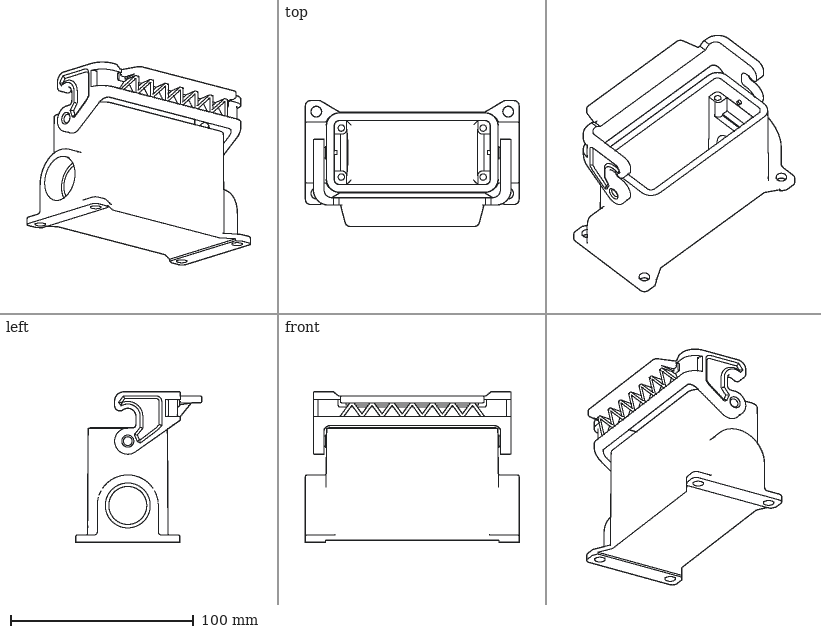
import cadquery as cq
import math

BODY_BOTTOM = 1.1
BODY_TOP = 62.8
RIM_SHOULDER_Z = 62.3
DRAFT_BREAK_Z = 57.6
BASE_HALF_X = 47.3
BASE_HALF_Y = 22.1
BODY_CORNER_R = 7.5
LOWER_DRAFT = 0.3
UPPER_DRAFT = 0.15
RIM_WIDTH = 4.1

MOUTH_HALF_X = BASE_HALF_X - LOWER_DRAFT - UPPER_DRAFT - RIM_WIDTH
MOUTH_HALF_Y = BASE_HALF_Y - LOWER_DRAFT - UPPER_DRAFT - RIM_WIDTH
MOUTH_CORNER_R = BODY_CORNER_R - LOWER_DRAFT - UPPER_DRAFT - RIM_WIDTH
POST_TOP = 51.0
POST_INNER_X = 35.9
POST_INNER_Y = 10.1
POST_CORNER_R = 2.5
SCREW_X = 38.8
SCREW_Y = 13.4
SCREW_R = 1.75
SCREW_DEPTH = 12.0
FLOOR_Z = 4.6
FLOOR_ROUND = 2.1
CAVITY_DRAFT_ANGLE = 0.9
LEDGE_Z = 39.0
LEDGE_END_X = 39.3
LEDGE_STEP = 1.0
BAY_OVERLAP = 1.0

END_X = 58.55
ENTRY_Z = 20.2
ENTRY_R = 16.7
ENTRY_START_X = 38.0
BORE_R = 12.3
BORE_DEPTH = 12.5
INNER_BORE_R = 10.4
BORE_OVERLAP = 2.0
FOOT_HALF_Y = 28.5
FOOT_TOP = 4.1
FOOT_TIP_X = 50.4
FOOT_ROOT_X = 39.6
FOOT_CORNER_R = 3.0
FOOT_TIP_R = 1.2
PAD_INNER_X = 47.4
FOOT_HOLE_X = 52.5
FOOT_HOLE_Y = 22.4
FOOT_HOLE_R = 2.85
ROOT_ROUND = 1.5
EDGE_ROUND = 1.0
WALL_ROUND = 1.0
NEAR = 0.1

LEG_OUT_X = 54.15
LEG_IN_X = 48.2
LEVER_TOP = 82.45
PLATE_OUT_Y = -28.8
PLATE_IN_Y = -24.6
LEVER_OUT_R = 8.5
LEVER_IN_R = 4.0
LEVER_EDGE_ROUND = 0.7
PIVOT_Z = 55.4
PIVOT_R = 7.2
PLATE_LOW_Z = 66.9
SLOT_Z = 68.9
SLOT_R = 4.4
SLOT_CORNER_R = 2.0
HOOK_R = 5.2
HOOK_OUT_Y = 7.3
TIP_R = 3.0
LEVER_BACK_Y = HOOK_OUT_Y + 1.0

HOLLOW_DEPTH = 1.0
HOLLOW_SLOPE = 55.0
HOLLOW_TOP = 80.1
HOLLOW_FRONT_Y = -18.6
HOLLOW_SLOT_R = 6.8
HOLLOW_CORNER_R = 3.0
HOLLOW_HOOK_Y = 3.6
HOLLOW_HOOK_POINTS = [(5.0, 76.6), (2.4, HOLLOW_TOP)]
HOLLOW_FRONT_LOW_Z = 64.0
HOLLOW_PIVOT_POINTS = [(-16.6, 61.7), (-6.8, 54.3), (-5.2, 55.2), (-3.6, 59.0)]
HOLLOW_SLOT_LOW_Z = 63.0

PIN_TIP_X = 41.3
PIN_TIP_R = 1.1
PIN_SHOULDER_R = 3.45
PIN_NECK_R = 2.9
PIN_SHOULDER_X = 47.6
PIN_ROOT_X = MOUTH_HALF_X + 2.0
PIN_DISH_R = 3.3
PIN_DISH_FLOOR_R = 2.4
PIN_DISH_DEPTH = 0.9

BAND_LOW = 68.9
BAND_HIGH = 78.2
BAND_DEPTH = 1.7
BAND_SIDE_DEPTH = 2.6
BAND_CORNER_R = 6.5
BAND_ROUND = 0.8
BAND_RUN_OUT = 1.8
BAND_END_Y = -20.6
BAND_FLOOR_Y = PLATE_OUT_Y + BAND_DEPTH
LIP_TOP = 80.1
LIP_TIP_LOW_Z = 76.4
LIP_ROOT_LOW_Z = 75.2
WEDGE_END_Y = -36.0
LIP_TIP_Y = -40.5
LIP_ROOT_HALF_X = 39.3
LIP_TIP_HALF_X = 36.2
LIP_CORNER_R = 3.0
LIP_EDGE_ROUND = 0.8
DIP_TOP_HALF_X = 43.2
DIP_HALF_X = 40.2
HAUNCH_HALF_X = 40.5
HAUNCH_CORNER_R = 1.0
HAUNCH_ROUND = 1.2
RIB_PITCH = 11.0
RIB_COUNT = 7
RIB_WIDTH = 1.7
RIB_TIP_Y = -34.9


def box(x0, x1, y0, y1, z0, z1):
    return cq.Workplane("XY").box(x1 - x0, y1 - y0, z1 - z0, centered=False).translate((x0, y0, z0))


def cylinder_x(x0, x1, y, z, radius):
    """Cylinder along X from x0 to x1."""
    return cq.Workplane("YZ", origin=(x0, 0, 0)).center(y, z).circle(radius).extrude(x1 - x0)


def centre_box(x0, x1, y0, y1, z0, z1):
    """Selector for edges whose centre lies in the given ranges."""
    return cq.selectors.BoxSelector((x0, y0, z0), (x1, y1, z1))


def drafted_block(half_x, half_y, corner_r, z0, z1, lean):
    angle = math.degrees(math.atan2(lean, z1 - z0))
    outline = cq.Sketch().rect(2 * half_x, 2 * half_y).vertices().fillet(corner_r)
    return cq.Workplane("XY", origin=(0, 0, z0)).placeSketch(outline).extrude(z1 - z0, taper=angle)


def both_ends(shape):
    """The shape together with its mirror image across the YZ plane."""
    return shape.union(shape.mirror("YZ"))


def make_shell():
    lower = drafted_block(BASE_HALF_X, BASE_HALF_Y, BODY_CORNER_R, BODY_BOTTOM, DRAFT_BREAK_Z, LOWER_DRAFT)
    rim_band = drafted_block(
        BASE_HALF_X - LOWER_DRAFT,
        BASE_HALF_Y - LOWER_DRAFT,
        BODY_CORNER_R - LOWER_DRAFT,
        DRAFT_BREAK_Z,
        RIM_SHOULDER_Z,
        UPPER_DRAFT,
    )
    return lower.union(rim_band)


def rim_crown():
    """Shallow rounded crown running all round the rim."""
    half_x = MOUTH_HALF_X + RIM_WIDTH / 2
    half_y = MOUTH_HALF_Y + RIM_WIDTH / 2
    corner_r = MOUTH_CORNER_R + RIM_WIDTH / 2
    path = (
        cq.Workplane("XY", origin=(0, 0, RIM_SHOULDER_Z))
        .moveTo(0, -half_y)
        .lineTo(half_x - corner_r, -half_y)
        .radiusArc((half_x, corner_r - half_y), -corner_r)
        .lineTo(half_x, half_y - corner_r)
        .radiusArc((half_x - corner_r, half_y), -corner_r)
        .lineTo(corner_r - half_x, half_y)
        .radiusArc((-half_x, half_y - corner_r), -corner_r)
        .lineTo(-half_x, corner_r - half_y)
        .radiusArc((corner_r - half_x, -half_y), -corner_r)
        .close()
    )
    return (
        cq.Workplane("YZ")
        .moveTo(-half_y - RIM_WIDTH / 2, RIM_SHOULDER_Z)
        .threePointArc((-half_y, BODY_TOP), (-half_y + RIM_WIDTH / 2, RIM_SHOULDER_Z))
        .close()
        .sweep(path)
    )


def make_foot_pair():
    """Foot plate at the -X end, carrying both feet of that end."""
    tip_edges = centre_box(
        -FOOT_TIP_X - 1, -FOOT_TIP_X + 1, -FOOT_HALF_Y - 1, FOOT_HALF_Y + 1, -1, FOOT_TOP + 1
    )
    plate = (
        cq.Workplane("XY")
        .polyline([
            (-END_X, FOOT_HALF_Y),
            (-FOOT_TIP_X, FOOT_HALF_Y),
            (-FOOT_ROOT_X, BASE_HALF_Y),
            (-FOOT_ROOT_X, -BASE_HALF_Y),
            (-FOOT_TIP_X, -FOOT_HALF_Y),
            (-END_X, -FOOT_HALF_Y),
        ])
        .close()
        .extrude(FOOT_TOP)
        .edges("|Z and <X")
        .fillet(FOOT_CORNER_R)
        .edges(tip_edges)
        .edges("|Z")
        .fillet(FOOT_TIP_R)
    )
    relief = box(-PAD_INNER_X, 0, -FOOT_HALF_Y, FOOT_HALF_Y, 0, BODY_BOTTOM)
    return plate.cut(relief)


def make_cable_entry():
    """Arched boss at the -X end, standing on the foot plate."""
    return (
        cq.Workplane("YZ", origin=(-END_X, 0, 0))
        .moveTo(-ENTRY_R, BODY_BOTTOM)
        .lineTo(-ENTRY_R, ENTRY_Z)
        .threePointArc((0, ENTRY_Z + ENTRY_R), (ENTRY_R, ENTRY_Z))
        .lineTo(ENTRY_R, BODY_BOTTOM)
        .close()
        .extrude(END_X - ENTRY_START_X)
    )


def make_end():
    """-X end piece, with its edges rounded."""
    end = make_foot_pair().union(make_cable_entry())
    low = FOOT_TOP - NEAR
    high = FOOT_TOP + NEAR
    reach_y = ENTRY_R + NEAR
    root_lines = centre_box(-END_X, -ENTRY_START_X, -reach_y, reach_y, low, high)
    end = end.edges("|X").edges(root_lines).fillet(ROOT_ROUND)
    outline = end.faces("<X").edges("not <Z")
    near_y = BASE_HALF_Y + NEAR
    far_y = FOOT_HALF_Y + NEAR
    for y0, y1 in ((near_y, far_y), (-far_y, -near_y)):
        outline = outline.add(end.edges(centre_box(-END_X + NEAR, -FOOT_ROOT_X, y0, y1, low, high)))
    return outline.fillet(EDGE_ROUND)


def round_wall_joint(housing):
    """Fillet where the body wall meets the -X entry boss and feet."""
    left_x = -BASE_HALF_X - NEAR
    right_x = -FOOT_ROOT_X - NEAR
    boss_joint = centre_box(left_x, right_x, -BASE_HALF_Y, BASE_HALF_Y, FOOT_TOP + NEAR, ENTRY_Z + ENTRY_R)
    foot_joint = centre_box(left_x, right_x, -BASE_HALF_Y, BASE_HALF_Y, FOOT_TOP - NEAR, FOOT_TOP + NEAR)
    edges = housing.edges(boss_joint).edges("not |X")
    return edges.add(housing.edges(foot_joint)).fillet(WALL_ROUND)


def foot_holes():
    points = [(sx * FOOT_HOLE_X, sy * FOOT_HOLE_Y) for sx in (-1, 1) for sy in (-1, 1)]
    return cq.Workplane("XY").pushPoints(points).circle(FOOT_HOLE_R).extrude(FOOT_TOP)


def make_mouth():
    """Upper cavity: straight through the rim band, slightly drafted down to the post tops."""
    outline = cq.Sketch().rect(2 * MOUTH_HALF_X, 2 * MOUTH_HALF_Y).vertices().fillet(MOUTH_CORNER_R)
    section = cq.Workplane("XY", origin=(0, 0, DRAFT_BREAK_Z)).placeSketch(outline)
    straight = section.extrude(BODY_TOP - DRAFT_BREAK_Z)
    drafted = section.extrude(POST_TOP - DRAFT_BREAK_Z, taper=CAVITY_DRAFT_ANGLE)
    return straight.union(drafted)


def make_well():
    """Deep cavity between the posts, narrowing to a rounded floor."""
    half_y = MOUTH_HALF_Y - (DRAFT_BREAK_Z - POST_TOP) * math.tan(math.radians(CAVITY_DRAFT_ANGLE))
    return (
        cq.Workplane("XY", origin=(0, 0, POST_TOP))
        .rect(2 * POST_INNER_X, 2 * half_y)
        .extrude(FLOOR_Z - POST_TOP, taper=CAVITY_DRAFT_ANGLE)
        .faces("<Z")
        .edges()
        .fillet(FLOOR_ROUND)
    )


def make_bay():
    """Space over the +X ledge, between its two posts."""
    r = POST_CORNER_R
    y = POST_INNER_Y
    return (
        cq.Workplane("XY", origin=(0, 0, LEDGE_Z))
        .moveTo(POST_INNER_X - BAY_OVERLAP, y + r)
        .lineTo(POST_INNER_X, y + r)
        .radiusArc((POST_INNER_X + r, y), -r)
        .lineTo(MOUTH_HALF_X, y)
        .lineTo(MOUTH_HALF_X, -y)
        .lineTo(POST_INNER_X + r, -y)
        .radiusArc((POST_INNER_X, -y - r), -r)
        .lineTo(POST_INNER_X - BAY_OVERLAP, -y - r)
        .close()
        .extrude(POST_TOP - LEDGE_Z)
    )


def both_bays():
    """Bays over the two ledges: a sloped end wall at +X, a stepped ledge at -X."""
    bay = make_bay()
    end_wall = (
        cq.Workplane("XZ", origin=(0, MOUTH_HALF_Y, 0))
        .polyline([(LEDGE_END_X, LEDGE_Z), (MOUTH_HALF_X, LEDGE_Z), (MOUTH_HALF_X, POST_TOP)])
        .close()
        .extrude(2 * MOUTH_HALF_Y)
    )
    step = box(
        -MOUTH_HALF_X, -LEDGE_END_X, -MOUTH_HALF_Y, MOUTH_HALF_Y, LEDGE_Z, LEDGE_Z + LEDGE_STEP
    )
    return bay.cut(end_wall).union(bay.mirror("YZ").cut(step))


def screw_holes():
    points = [(sx * SCREW_X, sy * SCREW_Y) for sx in (-1, 1) for sy in (-1, 1)]
    return (
        cq.Workplane("XY", origin=(0, 0, POST_TOP))
        .pushPoints(points)
        .circle(SCREW_R)
        .extrude(-SCREW_DEPTH)
    )


def cable_bore():
    """Stepped bore through the -X entry into the well."""
    outer = cylinder_x(-END_X, -END_X + BORE_DEPTH, 0, ENTRY_Z, BORE_R)
    inner = cylinder_x(-END_X, -POST_INNER_X + BORE_OVERLAP, 0, ENTRY_Z, INNER_BORE_R)
    return outer.union(inner)


def make_housing():
    housing = round_wall_joint(make_shell().union(make_end()))
    half = housing.intersect(box(-END_X, 0, -FOOT_HALF_Y, FOOT_HALF_Y, 0, BODY_TOP))
    housing = both_ends(half).union(rim_crown())
    for space in (make_mouth(), make_well(), both_bays()):
        housing = housing.cut(space)
    for hole in (screw_holes(), cable_bore(), foot_holes()):
        housing = housing.cut(hole)
    return housing


def lever_side_profile():
    """Side outline of the lever, as a slab across its whole width."""
    dy = -PLATE_OUT_Y
    dz = PLATE_LOW_Z - PIVOT_Z
    reach = math.hypot(dy, dz)
    tangent_angle = math.pi - math.atan2(dz, dy) + math.acos(PIVOT_R / reach)
    tangent_point = (PIVOT_R * math.cos(tangent_angle), PIVOT_Z + PIVOT_R * math.sin(tangent_angle))
    pivot_top = PIVOT_Z + PIVOT_R
    hook_y = HOOK_OUT_Y - HOOK_R
    tip_y = HOOK_OUT_Y - TIP_R
    join = math.acos(tip_y / (SLOT_R + TIP_R))
    tip_z = SLOT_Z + (SLOT_R + TIP_R) * math.sin(join)
    slot_start = (SLOT_R * math.cos(join), SLOT_Z + SLOT_R * math.sin(join))
    diag = math.sqrt(0.5)
    return (
        cq.Workplane("YZ", origin=(-LEG_OUT_X, 0, 0))
        .moveTo(PLATE_OUT_Y, LEVER_TOP)
        .lineTo(hook_y, LEVER_TOP)
        .radiusArc((HOOK_OUT_Y, LEVER_TOP - HOOK_R), HOOK_R)
        .lineTo(HOOK_OUT_Y, tip_z)
        .threePointArc((tip_y + TIP_R * diag, tip_z - TIP_R * diag), slot_start)
        .threePointArc((0, SLOT_Z + SLOT_R), (-SLOT_R, SLOT_Z))
        .lineTo(-SLOT_R, pivot_top + SLOT_CORNER_R)
        .radiusArc((-SLOT_R + SLOT_CORNER_R, pivot_top), -SLOT_CORNER_R)
        .lineTo(0, pivot_top)
        .threePointArc((PIVOT_R, PIVOT_Z), tangent_point)
        .lineTo(PLATE_OUT_Y, PLATE_LOW_Z)
        .close()
        .extrude(2 * LEG_OUT_X)
    )


def lever_plan(side_inset=0, front_inset=0, corner_r=LEVER_OUT_R):
    """Solid block with the lever's outer plan shape, optionally set in at the sides and front."""
    half_x = LEG_OUT_X - side_inset
    front_y = PLATE_OUT_Y + front_inset
    return (
        box(-half_x, half_x, front_y, LEVER_BACK_Y, 0, LEVER_TOP)
        .edges("|Z and <Y")
        .fillet(corner_r)
    )


def lever_inside():
    return (
        box(-LEG_IN_X, LEG_IN_X, PLATE_IN_Y, LEVER_BACK_Y, 0, LEVER_TOP)
        .edges("|Z and <Y")
        .fillet(LEVER_IN_R)
    )


def leg_hollow():
    """Sloped-sided hollow in the outer face of the -X leg."""
    slot_end_z = SLOT_Z + math.sqrt(HOLLOW_SLOT_R**2 - HOLLOW_HOOK_Y**2)
    outline = (
        cq.Workplane("YZ", origin=(-LEG_OUT_X, 0, 0))
        .moveTo(*HOLLOW_HOOK_POINTS[-1])
        .lineTo(HOLLOW_FRONT_Y + HOLLOW_CORNER_R, HOLLOW_TOP)
        .radiusArc((HOLLOW_FRONT_Y, HOLLOW_TOP - HOLLOW_CORNER_R), -HOLLOW_CORNER_R)
        .lineTo(HOLLOW_FRONT_Y, HOLLOW_FRONT_LOW_Z)
        .polyline(HOLLOW_PIVOT_POINTS, includeCurrent=True)
        .lineTo(-HOLLOW_SLOT_R, HOLLOW_SLOT_LOW_Z)
        .lineTo(-HOLLOW_SLOT_R, SLOT_Z)
        .threePointArc((0, SLOT_Z + HOLLOW_SLOT_R), (HOLLOW_HOOK_Y, slot_end_z))
        .lineTo(*HOLLOW_HOOK_POINTS[0])
        .close()
    )
    return outline.extrude(HOLLOW_DEPTH, taper=HOLLOW_SLOPE)


def front_band():
    """Band around the front and corners of the lever, rounded into its floor, with sloped ends."""
    window = box(-LEG_OUT_X, LEG_OUT_X, PLATE_OUT_Y, BAND_END_Y, BAND_LOW, BAND_HIGH)
    band = window.cut(lever_plan(BAND_SIDE_DEPTH, BAND_DEPTH, BAND_CORNER_R))
    floor_edges = centre_box(
        -LEG_IN_X, LEG_IN_X, BAND_FLOOR_Y - NEAR, BAND_FLOOR_Y + NEAR, BAND_LOW - NEAR, BAND_HIGH + NEAR
    )
    band = band.edges("|X").edges(floor_edges).fillet(BAND_ROUND)
    run_out = (
        cq.Workplane("XY", origin=(0, 0, BAND_LOW))
        .polyline([
            (-LEG_OUT_X, BAND_END_Y),
            (-LEG_OUT_X + BAND_SIDE_DEPTH, BAND_END_Y),
            (-LEG_OUT_X + BAND_SIDE_DEPTH, BAND_END_Y - BAND_RUN_OUT),
        ])
        .close()
        .extrude(BAND_HIGH - BAND_LOW)
    )
    return band.cut(both_ends(run_out))


def top_dip():
    """Drop in the top of the front plate down to the lip."""
    return (
        cq.Workplane("XZ", origin=(0, PLATE_IN_Y + LEVER_IN_R, 0))
        .polyline([
            (-DIP_TOP_HALF_X, LEVER_TOP),
            (-DIP_HALF_X, LIP_TOP),
            (DIP_HALF_X, LIP_TOP),
            (DIP_TOP_HALF_X, LEVER_TOP),
        ])
        .close()
        .extrude(PLATE_IN_Y + LEVER_IN_R - PLATE_OUT_Y)
    )


def grip_lip():
    """Grip lip with rounded outer edges, thickened by a wedge towards its root."""
    lip = (
        cq.Workplane("XY", origin=(0, 0, LIP_TIP_LOW_Z))
        .polyline([
            (-LIP_ROOT_HALF_X, BAND_FLOOR_Y),
            (LIP_ROOT_HALF_X, BAND_FLOOR_Y),
            (LIP_ROOT_HALF_X, PLATE_OUT_Y),
            (LIP_TIP_HALF_X, LIP_TIP_Y),
            (-LIP_TIP_HALF_X, LIP_TIP_Y),
            (-LIP_ROOT_HALF_X, PLATE_OUT_Y),
        ])
        .close()
        .extrude(LIP_TOP - LIP_TIP_LOW_Z)
        .edges("|Z and <Y")
        .fillet(LIP_CORNER_R)
        .edges("|X and <Y")
        .fillet(LIP_EDGE_ROUND)
    )
    wedge = (
        cq.Workplane("YZ", origin=(-LIP_TIP_HALF_X, 0, 0))
        .polyline([
            (BAND_FLOOR_Y, LIP_ROOT_LOW_Z),
            (BAND_FLOOR_Y - HAUNCH_ROUND, LIP_ROOT_LOW_Z),
            (WEDGE_END_Y, LIP_TIP_LOW_Z),
            (BAND_FLOOR_Y, LIP_TIP_LOW_Z),
        ])
        .close()
        .extrude(2 * LIP_TIP_HALF_X)
    )
    return lip.union(wedge)


def lip_haunch():
    """Concave root where the lip leaves the floor of the band."""
    out_y = BAND_FLOOR_Y - HAUNCH_ROUND
    low_z = LIP_ROOT_LOW_Z - HAUNCH_ROUND
    root = (
        cq.Workplane("YZ", origin=(-HAUNCH_HALF_X, 0, 0))
        .moveTo(PLATE_IN_Y, low_z)
        .lineTo(BAND_FLOOR_Y, low_z)
        .radiusArc((out_y, LIP_ROOT_LOW_Z), HAUNCH_ROUND)
        .lineTo(out_y, LIP_TOP)
        .lineTo(PLATE_IN_Y, LIP_TOP)
        .close()
        .extrude(2 * HAUNCH_HALF_X)
    )
    outline = (
        box(-HAUNCH_HALF_X, HAUNCH_HALF_X, out_y, PLATE_IN_Y, low_z, LIP_TOP)
        .edges("|Y and <Z")
        .fillet(HAUNCH_CORNER_R)
    )
    return root.intersect(outline)


def zigzag_ribs():
    """Zigzag web under the lip, trimmed to a triangular side shape."""
    rise = LIP_TIP_LOW_Z - BAND_LOW
    half_pitch = RIB_PITCH / 2
    length = math.hypot(half_pitch, rise) + RIB_WIDTH
    tilt = math.degrees(math.atan2(rise, half_pitch))
    gusset = (
        cq.Workplane("YZ", origin=(-LEG_OUT_X, 0, 0))
        .polyline([
            (PLATE_IN_Y, BAND_LOW),
            (PLATE_OUT_Y, BAND_LOW),
            (RIB_TIP_Y, LIP_TIP_LOW_Z),
            (PLATE_IN_Y, LIP_TIP_LOW_Z),
        ])
        .close()
        .extrude(2 * LEG_OUT_X)
    )
    first_x = -RIB_PITCH * RIB_COUNT / 2
    ribs = None
    for i in range(2 * RIB_COUNT):
        direction = 1 if i % 2 == 0 else -1
        bar = (
            cq.Workplane("XZ", origin=(0, BAND_FLOOR_Y, 0))
            .center(first_x + half_pitch * (i + 0.5), BAND_LOW + rise / 2)
            .transformed(rotate=(0, 0, direction * tilt))
            .rect(length, RIB_WIDTH)
            .extrude(BAND_FLOOR_Y - RIB_TIP_Y)
        )
        ribs = bar if ribs is None else ribs.union(bar)
    return ribs.intersect(gusset)


def pivot_pin():
    """Pin at -X joining the lever leg to the body wall."""
    tip = cylinder_x(-LEG_IN_X, -PIN_TIP_X, 0, PIVOT_Z, PIN_TIP_R)
    shoulder = cylinder_x(-PIN_SHOULDER_X, -PIN_ROOT_X, 0, PIVOT_Z, PIN_SHOULDER_R)
    neck = cylinder_x(-LEG_IN_X, -PIN_SHOULDER_X, 0, PIVOT_Z, PIN_NECK_R)
    return tip.union(shoulder).union(neck)


def pin_dish():
    """Conical dish in the outer face of the -X leg."""
    angle = math.degrees(math.atan2(PIN_DISH_R - PIN_DISH_FLOOR_R, PIN_DISH_DEPTH))
    return (
        cq.Workplane("YZ", origin=(-LEG_OUT_X, 0, 0))
        .center(0, PIVOT_Z)
        .circle(PIN_DISH_R)
        .extrude(PIN_DISH_DEPTH, taper=angle)
    )


def make_lever():
    lever = lever_plan().intersect(lever_side_profile())
    lever = lever.edges("not (|X or |Z)").fillet(LEVER_EDGE_ROUND)
    lever = lever.cut(lever_inside())
    lever = lever.cut(front_band())
    lever = lever.cut(top_dip())
    for addition in (grip_lip(), lip_haunch(), zigzag_ribs()):
        lever = lever.union(addition)
    for pocket in (leg_hollow(), pin_dish()):
        lever = lever.cut(both_ends(pocket))
    return lever


result = make_housing().union(make_lever()).union(both_ends(pivot_pin()))